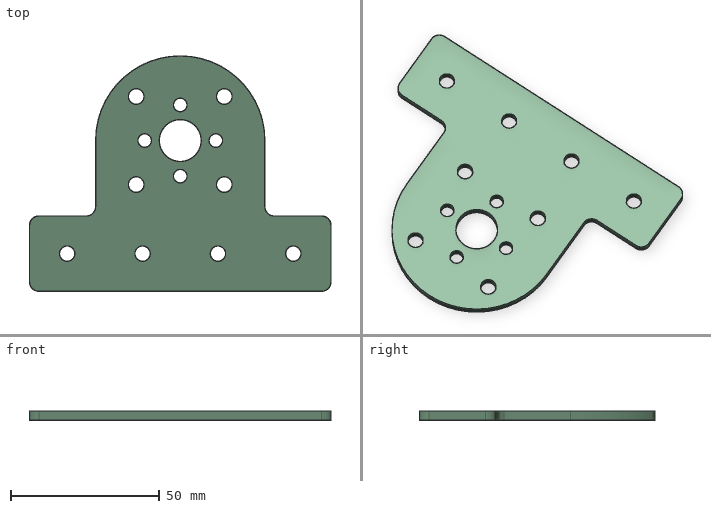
import cadquery as cq

base_length = 101.6
base_width = 25.4
thickness = 3.3
corner_radius = 3.1

overall_depth = 79.3
tongue_radius = 28.5
tongue_center_y = overall_depth - tongue_radius

base_hole_diameter = 5.1
base_hole_count = 4
base_hole_pitch = base_length / base_hole_count
bore_diameter = 14.0
cross_hole_diameter = 4.5
cross_hole_offset = 12.0
square_hole_diameter = 5.2
square_hole_spacing = 29.7


def make_plate():
    """T-shaped plate with a semicircular end and rounded corners."""
    half_length = base_length / 2
    plate = (
        cq.Workplane("XY")
        .moveTo(-half_length, 0)
        .lineTo(half_length, 0)
        .lineTo(half_length, base_width)
        .lineTo(tongue_radius, base_width)
        .lineTo(tongue_radius, tongue_center_y)
        .threePointArc((0, overall_depth), (-tongue_radius, tongue_center_y))
        .lineTo(-tongue_radius, base_width)
        .lineTo(-half_length, base_width)
        .close()
        .extrude(thickness)
    )
    rounded_zone = cq.selectors.BoxSelector(
        (-base_length, -base_width, -thickness),
        (base_length, base_width + corner_radius, 2 * thickness),
    )
    return plate.edges("|Z").edges(rounded_zone).fillet(corner_radius)


def hole_cutter(points, diameter):
    """Cylinders through the full thickness at the given points."""
    return cq.Workplane("XY").pushPoints(points).circle(diameter / 2).extrude(thickness)


base_hole_points = [
    ((i - (base_hole_count - 1) / 2) * base_hole_pitch, base_width / 2)
    for i in range(base_hole_count)
]
bore_points = [(0, tongue_center_y)]
cross_hole_points = [
    (dx * cross_hole_offset, tongue_center_y + dy * cross_hole_offset)
    for dx, dy in ((1, 0), (0, 1), (-1, 0), (0, -1))
]
square_hole_points = [
    (sx * square_hole_spacing / 2, tongue_center_y + sy * square_hole_spacing / 2)
    for sx in (-1, 1)
    for sy in (-1, 1)
]

result = (
    make_plate()
    .cut(hole_cutter(base_hole_points, base_hole_diameter))
    .cut(hole_cutter(bore_points, bore_diameter))
    .cut(hole_cutter(cross_hole_points, cross_hole_diameter))
    .cut(hole_cutter(square_hole_points, square_hole_diameter))
)